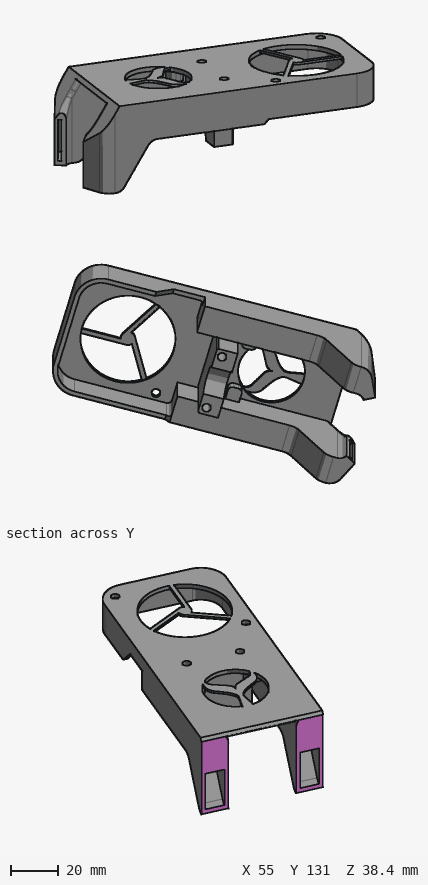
import cadquery as cq
import math

width = 55.0
length = 131.0
height = 38.4
half_width = width / 2
back_corner_radius = 11.5

rear_depth = 14.9
step_height = 2.0
rear_bottom = height - rear_depth
middle_bottom = rear_bottom - step_height
step_y = 77.4
front_top_y = 11.5
front_tip_z = 20.3
leg_back_bottom_y = 12.3
leg_bend_radius = 5.0
leg_slope = (height - front_tip_z) / front_top_y
leg_back_top_y = leg_back_bottom_y + middle_bottom / leg_slope

wall = 2.0
ceiling = height - wall
pocket_corner_radius = back_corner_radius - wall
notch_top = 31.2
notch_back_y = 98.6

channel_half = 15.2
channel_bend_y = 7.9
channel_bend_radius = 4.0
channel_edge_fillet = 2.1
bend_lead = 2.6
tip_x = 15.6
tip_angle = 24.5
tip_inner_x = 13.2
tip_inner_y = 4.3
tip_outer_radius = 6.0

hollow_skin = 1.5
hollow_top = 20.2

saddle_front_y = 59.7
saddle_thickness = 8.9
saddle_bottom = 9.8
saddle_arch_radius = 6.3
saddle_edge_chamfer = 0.7

pad_inner_x = 9.2
pad_front_y = 50.6
pad_side = channel_half - pad_inner_x
pad_height = 4.5
pad_corner_radius = 2.0

guard_thickness = 1.0
big_fan_x = 2.0
big_fan_y = 102.7
big_fan_radius = 19.9
guard_hub_radius = 3.0
guard_arm_width = 2.1
guard_arm_count = 3
small_fan_y = 40.7
small_fan_radius = 14.0

screw_radius = 1.8
screw_points = [(-21.1, 123.5), (22.4, 84.8), (-12.0, 65.6), (12.0, 65.6)]

tip_cos = math.cos(math.radians(tip_angle))
tip_sin = math.sin(math.radians(tip_angle))
bend_angle = 90 - tip_angle
margin = 0.1


def box(x_min, x_max, y_min, y_max, z_min, z_max):
    size = (x_max - x_min, y_max - y_min, z_max - z_min)
    return cq.Workplane("XY").box(*size, centered=False).translate((x_min, y_min, z_min))


def both_sides(right_half):
    return right_half.union(right_half.mirror("YZ"))


def bend_point(radius, angle):
    """Point on an arc about the right channel bend centre, at an angle turned towards the tip."""
    turn = math.radians(angle)
    center_x = channel_half - channel_bend_radius
    return (center_x + radius * math.cos(turn), channel_bend_y - radius * math.sin(turn))


def towards_tip(point, distance):
    """Shift a point parallel to the slanted front face of the right leg."""
    return (point[0] - distance * tip_cos, point[1] - distance * tip_sin)


def leg_front_y(x, depth):
    """Y at a given x on a line lying the given depth behind the slanted front face."""
    return (x - tip_x) * tip_sin / tip_cos + depth / tip_cos


def side_profile():
    """Body seen along X: deep front legs, stepped bottom and slanted front."""
    profile = (
        cq.Workplane("YZ")
        .moveTo(0, 0)
        .lineTo(leg_back_bottom_y, 0)
        .lineTo(leg_back_top_y, middle_bottom)
        .lineTo(step_y, middle_bottom)
        .lineTo(step_y + step_height, rear_bottom)
        .lineTo(length, rear_bottom)
        .lineTo(length, height)
        .lineTo(front_top_y, height)
        .lineTo(0, front_tip_z)
        .close()
        .extrude(half_width, both=True)
    )
    bends = cq.selectors.BoxSelector(
        (-width, leg_back_bottom_y - margin, -margin),
        (width, leg_back_top_y + margin, middle_bottom + margin),
        boundingbox=True,
    )
    return profile.edges("|X").edges(bends).fillet(leg_bend_radius)


def plan_outline():
    """Body seen from above, with rounded corners and slanted leg fronts."""
    corner_y = leg_front_y(half_width, 0)
    outline = (
        cq.Workplane("XY")
        .polyline([
            (-tip_x, 0), (tip_x, 0), (half_width, corner_y),
            (half_width, length), (-half_width, length), (-half_width, corner_y),
        ])
        .close()
        .extrude(height)
    )
    outline = outline.edges("|Z and >Y").fillet(back_corner_radius)
    front_corners = cq.selectors.BoxSelector(
        (-width, corner_y - margin, -margin),
        (width, corner_y + margin, height + margin),
        boundingbox=True,
    )
    return outline.edges("|Z").edges(front_corners).fillet(tip_outer_radius)


def channel():
    """Channel between the legs, narrowing in a tangent bend towards the leg tips."""
    bend_mid = bend_point(channel_bend_radius, bend_angle / 2)
    bend_end = bend_point(channel_bend_radius, bend_angle)
    lead_end = towards_tip(bend_end, bend_lead)
    half = (
        cq.Workplane("XY")
        .moveTo(0, step_y + wall)
        .lineTo(channel_half, step_y + wall)
        .lineTo(channel_half, channel_bend_y)
        .threePointArc(bend_mid, bend_end)
        .lineTo(*lead_end)
        .lineTo(lead_end[0], -wall)
        .lineTo(0, -wall)
        .close()
        .extrude(ceiling)
    )
    return both_sides(half)


def round_channel_front(body):
    """Fillet the channel sides where they meet the slanted front."""
    for side in (-1, 1):
        near, far = sorted((0, side * (channel_half + margin)))
        edge_zone = cq.selectors.BoxSelector((near, wall, front_tip_z), (far, front_top_y, ceiling - margin))
        body = body.edges(edge_zone).fillet(channel_edge_fillet)
    return body


def mouth():
    """Opening between the leg tips, with slanted end faces."""
    return (
        cq.Workplane("XY")
        .polyline([
            (-tip_x, 0), (tip_x, 0), (tip_inner_x, tip_inner_y), (-tip_inner_x, tip_inner_y),
        ])
        .close()
        .extrude(ceiling)
    )


def leg_hollows():
    """Hollow in each leg, following its walls and narrowing to an open slit at the tip."""
    inner_x = channel_half + wall
    outer_x = half_width - wall
    back_y = leg_back_top_y + wall
    bend_radius = channel_bend_radius + wall
    bend_end = bend_point(bend_radius, bend_angle)
    slit_end = towards_tip(bend_end, wall)
    plan = (
        cq.Workplane("XY")
        .moveTo(inner_x, back_y)
        .lineTo(inner_x, channel_bend_y)
        .threePointArc(bend_point(bend_radius, bend_angle / 2), bend_end)
        .lineTo(*slit_end)
        .lineTo(slit_end[0], leg_front_y(slit_end[0], hollow_skin))
        .lineTo(outer_x, leg_front_y(outer_x, hollow_skin))
        .lineTo(outer_x, back_y)
        .close()
        .extrude(hollow_top)
    )
    back_shift = wall * math.hypot(1, 1 / leg_slope)
    floor_back_y = leg_back_bottom_y + wall / leg_slope - back_shift
    top_back_y = leg_back_bottom_y + hollow_top / leg_slope - back_shift
    side = (
        cq.Workplane("YZ")
        .polyline([(0, wall), (floor_back_y, wall), (top_back_y, hollow_top), (0, hollow_top)])
        .close()
        .extrude(half_width)
    )
    floor_edge = cq.selectors.NearestToPointSelector((half_width / 2, floor_back_y, wall))
    side = side.edges(floor_edge).fillet(leg_bend_radius)
    return both_sides(plan.intersect(side))


def rear_pocket():
    """Pocket behind the channel, open below, with rounded corners."""
    pocket_half = half_width - wall
    pocket = box(-pocket_half, pocket_half, step_y, length - wall, 0, ceiling)
    pocket = pocket.edges("|Z and >Y").fillet(pocket_corner_radius)
    return pocket.edges("|Z and <Y").fillet(wall)


def side_notch():
    """Notch through the left wall of the rear pocket, with a 45 degree rear end."""
    notch_rise = notch_top - rear_bottom
    return (
        cq.Workplane("YZ", origin=(-half_width, 0, 0))
        .polyline([
            (step_y, 0), (notch_back_y, 0), (notch_back_y, rear_bottom),
            (notch_back_y - notch_rise, notch_top), (step_y, notch_top),
        ])
        .close()
        .extrude(2 * wall)
    )


def saddle():
    """Bridge across the channel with an arch cut from its underside."""
    back_y = saddle_front_y + saddle_thickness
    bridge = box(-channel_half, channel_half, saddle_front_y, back_y, saddle_bottom, height)
    bridge = bridge.edges("|Z and >Y").chamfer(saddle_edge_chamfer)
    arch = (
        cq.Workplane("XZ", origin=(0, back_y, saddle_bottom))
        .circle(saddle_arch_radius)
        .extrude(saddle_thickness)
    )
    return bridge.cut(arch)


def fan_pads():
    """Square pads under the top, just behind the small fan opening."""
    pad_back_y = pad_front_y + pad_side
    pad = box(pad_inner_x, channel_half, pad_front_y, pad_back_y, ceiling - pad_height, ceiling)
    return both_sides(pad.edges("|Z and <X").fillet(pad_corner_radius))


def round_opening(x, y, radius):
    return cq.Workplane("XY").center(x, y).circle(radius).extrude(height)


def guard_plane(x, y):
    return cq.Workplane("XY", origin=(x, y, height - guard_thickness))


def big_fan_guard():
    """Hub with straight arms whose outer edges are tangent to it."""
    guard = guard_plane(0, 0).circle(guard_hub_radius).extrude(guard_thickness)
    for index in range(guard_arm_count):
        arm = (
            guard_plane(guard_hub_radius - guard_arm_width / 2, big_fan_radius / 2)
            .rect(guard_arm_width, big_fan_radius)
            .extrude(guard_thickness)
            .rotate((0, 0, 0), (0, 0, 1), index * 360 / guard_arm_count)
        )
        guard = guard.union(arm)
    return guard.translate((big_fan_x, big_fan_y, 0))


def small_fan_guard():
    """Three curved blades, symmetric about the YZ plane."""
    rim = small_fan_radius + wall
    half = (
        guard_plane(0, small_fan_y)
        .moveTo(0, -0.3)
        .threePointArc((0.5, 1.3), (1.7, 2.6))
        .lineTo(8.1, 6.0)
        .threePointArc((9.5, 7.3), (10.1, 9.2))
        .lineTo(10.1, rim)
        .lineTo(11.7, rim)
        .lineTo(11.7, 5.5)
        .threePointArc((10.7, 2.9), (8.5, 0.9))
        .lineTo(5.5, -1.0)
        .threePointArc((3.3, -2.8), (1.5, -5.0))
        .threePointArc((1.2, -6.8), (1.5, -8.5))
        .lineTo(2.8, -rim)
        .lineTo(0, -rim)
        .close()
        .extrude(guard_thickness)
    )
    return both_sides(half)


def screw_holes():
    return cq.Workplane("XY").pushPoints(screw_points).circle(screw_radius).extrude(height)


body = side_profile().intersect(plan_outline()).cut(channel())
body = round_channel_front(body)
body = body.cut(mouth()).cut(leg_hollows())
body = body.cut(rear_pocket()).cut(side_notch())
body = body.union(saddle()).union(fan_pads())

big_opening = round_opening(big_fan_x, big_fan_y, big_fan_radius)
small_opening = round_opening(0, small_fan_y, small_fan_radius)
body = body.cut(big_opening).cut(small_opening)
body = body.union(big_fan_guard().intersect(big_opening))
body = body.union(small_fan_guard().intersect(small_opening))

result = body.cut(screw_holes())